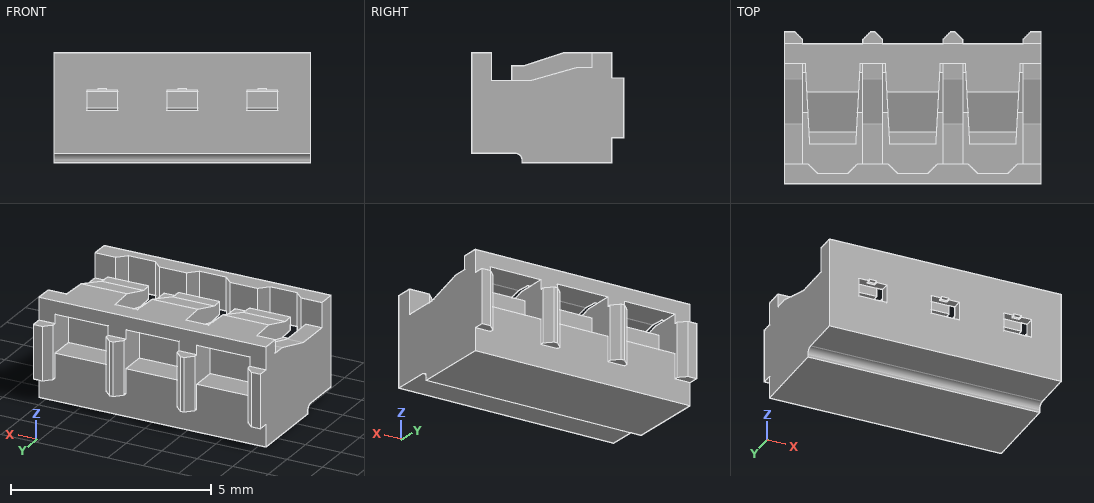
import cadquery as cq

LENGTH = 6.4
HEIGHT = 2.75
BODY_DEPTH = 3.5
FRONT_WALL = 0.5
BACK_WALL = 0.5
SLOT_BACK = BODY_DEPTH - BACK_WALL

CELL_COUNT = 3
CELL_WIDTH = 1.5
CELL_FLOOR = 1.31
RIB_WIDTH = 0.5
PITCH = CELL_WIDTH + RIB_WIDTH
CELL_CENTRES = [(i - (CELL_COUNT - 1) / 2) * PITCH for i in range(CELL_COUNT)]
RIB_CENTRES = [(i - CELL_COUNT / 2) * PITCH for i in range(CELL_COUNT + 1)]

RIB_HIGH = 2.38
RIB_LOW = 2.06
RIB_SLOPE_BACK = 2.625
RIB_SLOPE_FRONT = 1.5

TONGUE_LOW = 2.425
TONGUE_SLOPE_BACK = 2.3
TONGUE_SLOPE_FRONT = 1.3
TONGUE_TIP = 1.0
TONGUE_ROOT_WIDTH = 1.37
TONGUE_TIP_WIDTH = 1.15

WINDOW_WIDTH = 0.77
WINDOW_TOP = 1.82
NOTCH_WIDTH = 0.205
NOTCH_HEIGHT = 0.045
NOTCH_DEPTH = 0.13

WEDGE_BACK = 2.78
WEDGE_FRONT = 1.78
WEDGE_HIGH = 2.07
WEDGE_LOW = 1.78
WEDGE_FOOT = 1.37
WEDGE_SLOPE = (WEDGE_HIGH - WEDGE_LOW) / (WEDGE_BACK - WEDGE_FRONT)
UNDERCUT_DEPTH = (WEDGE_FOOT - CELL_FLOOR) / WEDGE_SLOPE

RECESS_DEPTH = 0.24
RECESS_MOUTH = 1.23
RECESS_FLOOR = RECESS_MOUTH - 2 * RECESS_DEPTH

PAD_DEPTH = 0.3
PAD_BOTTOM = 0.63
PAD_TOP = 2.125
PAD_CHAMFER = 0.2

STEP_DEPTH = 1.255
STEP_HEIGHT = 0.24
STEP_RADIUS = 0.16


def yz_prism(points, centre_x, width):
    """Extrude a (Y, Z) outline along X, centred on centre_x."""
    outline = cq.Workplane("YZ", origin=(centre_x, 0, 0)).polyline(points).close()
    return outline.extrude(width / 2, both=True)


def xy_prism(points, bottom, top):
    """Extrude an (X, Y) outline from one height to another."""
    outline = cq.Workplane("XY", origin=(0, 0, bottom)).polyline(points).close()
    return outline.extrude(top - bottom)


def body():
    """Block with a filleted base step and the rib tops cut down behind the front wall."""
    block = (
        cq.Workplane("YZ", origin=(-LENGTH / 2, 0, 0))
        .moveTo(0, STEP_HEIGHT)
        .lineTo(STEP_DEPTH - STEP_RADIUS, STEP_HEIGHT)
        .radiusArc((STEP_DEPTH, STEP_HEIGHT - STEP_RADIUS), STEP_RADIUS)
        .lineTo(STEP_DEPTH, 0)
        .lineTo(BODY_DEPTH, 0)
        .lineTo(BODY_DEPTH, HEIGHT)
        .lineTo(0, HEIGHT)
        .close()
        .extrude(LENGTH)
    )
    above_ribs = [
        (FRONT_WALL, HEIGHT),
        (FRONT_WALL, RIB_LOW),
        (RIB_SLOPE_FRONT, RIB_LOW),
        (RIB_SLOPE_BACK, RIB_HIGH),
        (SLOT_BACK, RIB_HIGH),
        (SLOT_BACK, HEIGHT),
    ]
    return block.cut(yz_prism(above_ribs, 0, LENGTH))


def back_pad(centre_x):
    """Pad behind one rib, with its two rear corners chamfered."""
    half = RIB_WIDTH / 2
    back = BODY_DEPTH + PAD_DEPTH
    outline = [
        (centre_x - half, BODY_DEPTH),
        (centre_x + half, BODY_DEPTH),
        (centre_x + half, back - PAD_CHAMFER),
        (centre_x + half - PAD_CHAMFER, back),
        (centre_x - half + PAD_CHAMFER, back),
        (centre_x - half, back - PAD_CHAMFER),
    ]
    return xy_prism(outline, PAD_BOTTOM, PAD_TOP)


def end_pad(side):
    """Pad at one end, flush with the end face and chamfered only on its inner corner."""
    outer = side * LENGTH / 2
    inner = side * (CELL_CENTRES[-1] + CELL_WIDTH / 2)
    back = BODY_DEPTH + PAD_DEPTH
    outline = [
        (outer, BODY_DEPTH),
        (outer, back),
        (inner + side * PAD_CHAMFER, back),
        (inner, back - PAD_CHAMFER),
        (inner, BODY_DEPTH),
    ]
    return xy_prism(outline, PAD_BOTTOM, PAD_TOP)


def cell_cavity(centre_x):
    """Space of one cell around its wedge bar, open at the back below the rear wall."""
    cavity = [
        (FRONT_WALL, CELL_FLOOR),
        (WEDGE_FRONT + UNDERCUT_DEPTH, CELL_FLOOR),
        (WEDGE_FRONT, WEDGE_FOOT),
        (WEDGE_FRONT, WEDGE_LOW),
        (WEDGE_BACK, WEDGE_HIGH),
        (WEDGE_BACK, CELL_FLOOR),
        (BODY_DEPTH, CELL_FLOOR),
        (BODY_DEPTH, RIB_HIGH),
        (FRONT_WALL, RIB_HIGH),
    ]
    return yz_prism(cavity, centre_x, CELL_WIDTH)


def front_openings(centre_x):
    """Flared recess behind the front wall, plus the window and its notch."""
    recess_outline = [
        (centre_x - RECESS_MOUTH / 2, FRONT_WALL),
        (centre_x - RECESS_FLOOR / 2, FRONT_WALL - RECESS_DEPTH),
        (centre_x + RECESS_FLOOR / 2, FRONT_WALL - RECESS_DEPTH),
        (centre_x + RECESS_MOUTH / 2, FRONT_WALL),
    ]
    recess = xy_prism(recess_outline, CELL_FLOOR, HEIGHT)
    window = cq.Workplane("XY", origin=(centre_x, 0, CELL_FLOOR)).box(
        WINDOW_WIDTH, FRONT_WALL, WINDOW_TOP - CELL_FLOOR, centered=(True, False, False)
    )
    notch = cq.Workplane("XY", origin=(centre_x, 0, WINDOW_TOP)).box(
        NOTCH_WIDTH, NOTCH_DEPTH, NOTCH_HEIGHT, centered=(True, False, False)
    )
    return recess.union(window).union(notch)


def tongue(centre_x):
    """Bent tongue reaching forward from the rear wall, trimmed to its tapered width."""
    side_outline = [
        (SLOT_BACK, HEIGHT),
        (TONGUE_SLOPE_BACK, HEIGHT),
        (TONGUE_SLOPE_FRONT, TONGUE_LOW),
        (TONGUE_TIP, TONGUE_LOW),
        (TONGUE_TIP, RIB_LOW),
        (RIB_SLOPE_FRONT, RIB_LOW),
        (RIB_SLOPE_BACK, RIB_HIGH),
        (SLOT_BACK, RIB_HIGH),
    ]
    taper = [
        (centre_x - TONGUE_ROOT_WIDTH / 2, SLOT_BACK),
        (centre_x - TONGUE_TIP_WIDTH / 2, TONGUE_TIP),
        (centre_x + TONGUE_TIP_WIDTH / 2, TONGUE_TIP),
        (centre_x + TONGUE_ROOT_WIDTH / 2, SLOT_BACK),
    ]
    return yz_prism(side_outline, centre_x, CELL_WIDTH).intersect(xy_prism(taper, 0, HEIGHT))


result = body()
for x in RIB_CENTRES[1:-1]:
    result = result.union(back_pad(x))
for end in (-1, 1):
    result = result.union(end_pad(end))
for x in CELL_CENTRES:
    result = result.cut(cell_cavity(x)).cut(front_openings(x)).union(tongue(x))